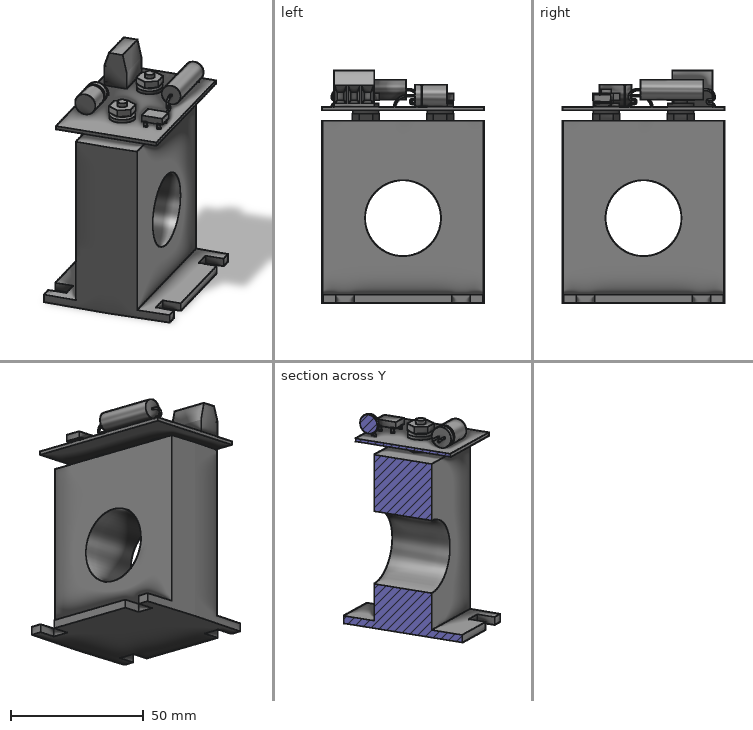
import cadquery as cq
import math

HOUSING_LENGTH = 61.09
HOUSING_WIDTH = 24.77
HOUSING_HEIGHT = 68.58
DRAFT_ANGLE = 1.4
BORE_DIAMETER = 28.45
BORE_HEIGHT = 31.9

FLANGE_WIDTH = 50.8
FLANGE_THICKNESS = 3.175
NOTCH_DEPTH = 7.3
NOTCH_INNER_Y = 18.4
NOTCH_OUTER_Y = 25.35

HEX_CORNER_DIAMETER = 10.16
SPACER_HEIGHT = 2.54
WASHER_DIAMETER = 9.91
WASHER_THICKNESS = 1.27
COLLAR_DIAMETER = 5.08
COLLAR_HEIGHT = 1.14
NUT_HEIGHT = 2.6
STUD_DIAMETER = 3.68
STUD_PROJECTION = 1.6
STUD_POSITIONS_Y = (14.0, -14.0)

BOARD_WIDTH = 40.64
BOARD_LENGTH = 60.93
BOARD_THICKNESS = 1.397
BOARD_BOTTOM = HOUSING_HEIGHT + SPACER_HEIGHT + WASHER_THICKNESS
BOARD_TOP = BOARD_BOTTOM + BOARD_THICKNESS

WIRE_DIAMETER = 0.762
WIRE_EMBED = 0.5

TERMINAL_TOP = 87.5
TERMINAL_CENTER_Y = 18.4
TERMINAL_PITCH = 5.08
TERMINAL_WAYS = 3
TERMINAL_LENGTH = TERMINAL_PITCH * TERMINAL_WAYS
TERMINAL_FRONT_X = -17.15
TERMINAL_BACK_X = -8.05
TERMINAL_CREST_FRONT_X = -15.2
TERMINAL_CREST_BACK_X = -9.65
TERMINAL_FRONT_SHOULDER = 8.0
TERMINAL_BACK_SHOULDER = 6.7
POCKET_DEPTH = 5.5
POCKET_FLOOR = 1.27
POCKET_MOUTH_WIDTH = 4.45
POCKET_END_WIDTH = 2.56
POCKET_END_FLOOR = 2.38
POCKET_END_CEILING = 5.42

CAPACITOR_DIAMETER = 8.26
CAPACITOR_X = -13.97
CAPACITOR_START_Y = -4.5
CAPACITOR_LENGTH = 12.1
CAPACITOR_CLEARANCE = 0.02
GROOVE_OFFSET = 2.3
GROOVE_WIDTH = 0.45
GROOVE_DEPTH = 0.35
CAPACITOR_LEAD_PITCH = 2.54
CAPACITOR_LEAD_BEND = 4.9
CAPACITOR_LEAD_REACH_Y = 3.25

AXIAL_DIAMETER = 7.62
AXIAL_X = 14.7
AXIAL_CENTER_Y = 10.6
AXIAL_LENGTH = 23.6
AXIAL_HEIGHT = 6.35
AXIAL_LEAD_REACH = 4.15
AXIAL_UPPER_BEND = 2.8
AXIAL_MIDDLE_BEND = 0.9
AXIAL_LOOP_BEND = 0.72
AXIAL_LOOP_REACH = 2.35

RECTIFIER_X = 13.9
RECTIFIER_CENTER_Y = -15.55
RECTIFIER_WIDTH = 8.38
RECTIFIER_LENGTH = 6.35
RECTIFIER_HEIGHT = 2.54
RECTIFIER_STANDOFF = 1.93
LEG_PITCH = 5.4
LEG_WIDTH = 1.3
LEG_THICKNESS = 0.32
LEG_OVERHANG = 0.2
LEG_FOOT_LENGTH = 0.9
LEG_ROOT_HEIGHT = 0.3


def box_between(x_range, y_range, z_range):
    size = [high - low for low, high in (x_range, y_range, z_range)]
    corner = (x_range[0], y_range[0], z_range[0])
    return cq.Workplane("XY").box(*size, centered=False).translate(corner)


def disc(diameter, y, z_bottom, height):
    return cq.Workplane("XY", origin=(0, y, z_bottom)).circle(diameter / 2).extrude(height)


def hexagon(y, z_bottom, height):
    """Hexagonal prism with two corners pointing along Y."""
    profile = cq.Workplane("XY", origin=(0, y, z_bottom)).transformed(rotate=(0, 0, 90))
    return profile.polygon(6, HEX_CORNER_DIAMETER).extrude(height)


def cylinder_along_y(diameter, x, z, y_low, y_high):
    plane = cq.Workplane("XZ", origin=(x, y_high, z))
    return plane.circle(diameter / 2).extrude(y_high - y_low)


def drafted_plate(width, height):
    """Block whose Y ends slope away from the parting plane at the draft angle."""
    half_width = width / 2
    middle_y = HOUSING_LENGTH / 2
    outer_y = middle_y - half_width * math.tan(math.radians(DRAFT_ANGLE))
    outline = [
        (-half_width, -outer_y),
        (0, -middle_y),
        (half_width, -outer_y),
        (half_width, outer_y),
        (0, middle_y),
        (-half_width, outer_y),
    ]
    return cq.Workplane("XY").polyline(outline).close().extrude(height)


def make_housing():
    housing = drafted_plate(HOUSING_WIDTH, HOUSING_HEIGHT)
    flange = drafted_plate(FLANGE_WIDTH, FLANGE_THICKNESS)
    notch_width = NOTCH_OUTER_Y - NOTCH_INNER_Y
    notch_x = FLANGE_WIDTH / 2 - NOTCH_DEPTH / 2
    notch_y = (NOTCH_OUTER_Y + NOTCH_INNER_Y) / 2
    notches = (
        cq.Workplane("XY")
        .rect(2 * notch_x, 2 * notch_y, forConstruction=True)
        .vertices()
        .rect(NOTCH_DEPTH, notch_width)
        .extrude(FLANGE_THICKNESS)
    )
    bore = (
        cq.Workplane("YZ", origin=(-HOUSING_WIDTH / 2, 0, BORE_HEIGHT))
        .circle(BORE_DIAMETER / 2)
        .extrude(HOUSING_WIDTH)
    )
    return housing.union(flange.cut(notches)).cut(bore)


def make_board():
    board = cq.Workplane("XY").box(
        BOARD_WIDTH, BOARD_LENGTH, BOARD_THICKNESS, centered=(True, True, False)
    )
    return board.translate((0, 0, BOARD_BOTTOM))


def make_stud(y):
    """Spacer, two washers, collar, nut and threaded stud, stacked upward."""
    lower_washer_z = HOUSING_HEIGHT + SPACER_HEIGHT
    collar_z = BOARD_TOP + WASHER_THICKNESS
    nut_z = collar_z + COLLAR_HEIGHT
    stud_top = nut_z + NUT_HEIGHT + STUD_PROJECTION
    stack = hexagon(y, HOUSING_HEIGHT, SPACER_HEIGHT)
    stack = stack.union(disc(WASHER_DIAMETER, y, lower_washer_z, WASHER_THICKNESS))
    stack = stack.union(disc(WASHER_DIAMETER, y, BOARD_TOP, WASHER_THICKNESS))
    stack = stack.union(disc(COLLAR_DIAMETER, y, collar_z, COLLAR_HEIGHT))
    stack = stack.union(hexagon(y, nut_z, NUT_HEIGHT))
    return stack.union(disc(STUD_DIAMETER, y, HOUSING_HEIGHT, stud_top - HOUSING_HEIGHT))


def make_terminal_pocket(y):
    """Wire entry that tapers from its mouth to a smaller end wall."""
    mouth_height = TERMINAL_FRONT_SHOULDER - POCKET_FLOOR
    mouth_center = (TERMINAL_FRONT_SHOULDER + POCKET_FLOOR) / 2
    end_height = POCKET_END_CEILING - POCKET_END_FLOOR
    end_center = (POCKET_END_CEILING + POCKET_END_FLOOR) / 2
    return (
        cq.Workplane("YZ", origin=(TERMINAL_FRONT_X, y, BOARD_TOP + mouth_center))
        .rect(POCKET_MOUTH_WIDTH, mouth_height)
        .workplane(offset=POCKET_DEPTH)
        .center(0, end_center - mouth_center)
        .rect(POCKET_END_WIDTH, end_height)
        .loft(ruled=True)
    )


def make_terminal():
    profile = [
        (TERMINAL_FRONT_X, BOARD_TOP),
        (TERMINAL_FRONT_X, BOARD_TOP + TERMINAL_FRONT_SHOULDER),
        (TERMINAL_CREST_FRONT_X, TERMINAL_TOP),
        (TERMINAL_CREST_BACK_X, TERMINAL_TOP),
        (TERMINAL_BACK_X, BOARD_TOP + TERMINAL_BACK_SHOULDER),
        (TERMINAL_BACK_X, BOARD_TOP),
    ]
    start_y = TERMINAL_CENTER_Y + TERMINAL_LENGTH / 2
    terminal = (
        cq.Workplane("XZ", origin=(0, start_y, 0)).polyline(profile).close().extrude(TERMINAL_LENGTH)
    )
    for way in range(TERMINAL_WAYS):
        pocket_y = start_y - (way + 0.5) * TERMINAL_PITCH
        terminal = terminal.cut(make_terminal_pocket(pocket_y))
    return terminal


def sweep_wire(path, x, y, z):
    """Round wire along a path that leaves (x, y, z) in the Y direction."""
    return cq.Workplane("XZ", origin=(x, y, z)).circle(WIRE_DIAMETER / 2).sweep(path)


def make_capacitor():
    radius = CAPACITOR_DIAMETER / 2
    axis_z = BOARD_TOP + radius + CAPACITOR_CLEARANCE
    end_y = CAPACITOR_START_Y - CAPACITOR_LENGTH
    groove_y = CAPACITOR_START_Y - GROOVE_OFFSET
    groove_end_y = groove_y - GROOVE_WIDTH
    core_diameter = CAPACITOR_DIAMETER - 2 * GROOVE_DEPTH

    capacitor = cylinder_along_y(CAPACITOR_DIAMETER, CAPACITOR_X, axis_z, groove_y, CAPACITOR_START_Y)
    capacitor = capacitor.union(
        cylinder_along_y(core_diameter, CAPACITOR_X, axis_z, groove_end_y, groove_y)
    )
    capacitor = capacitor.union(
        cylinder_along_y(CAPACITOR_DIAMETER, CAPACITOR_X, axis_z, end_y, groove_end_y)
    )

    bend_start_y = CAPACITOR_LEAD_REACH_Y - CAPACITOR_LEAD_BEND
    bend_end_z = axis_z - CAPACITOR_LEAD_BEND
    wire_start_y = CAPACITOR_START_Y - WIRE_EMBED
    for side in (-1, 1):
        lead_x = CAPACITOR_X + side * CAPACITOR_LEAD_PITCH / 2
        path = (
            cq.Workplane("YZ", origin=(lead_x, 0, 0))
            .moveTo(wire_start_y, axis_z)
            .lineTo(bend_start_y, axis_z)
            .tangentArcPoint((CAPACITOR_LEAD_REACH_Y, bend_end_z), relative=False)
        )
        capacitor = capacitor.union(sweep_wire(path, lead_x, wire_start_y, axis_z))
    return capacitor


def make_axial_lead(end_y, direction):
    """Lead that drops from the axis, loops back under the body and enters the board."""
    axis_z = BOARD_TOP + AXIAL_HEIGHT
    outer = AXIAL_LEAD_REACH
    upper_z = axis_z - AXIAL_UPPER_BEND
    loop_top_z = upper_z - AXIAL_MIDDLE_BEND
    loop_bottom_z = loop_top_z - 2 * AXIAL_LOOP_BEND
    last_bend = loop_bottom_z - BOARD_TOP

    def y_at(reach):
        return end_y + direction * reach

    start_y = y_at(-WIRE_EMBED)
    path = (
        cq.Workplane("YZ", origin=(AXIAL_X, 0, 0))
        .moveTo(start_y, axis_z)
        .lineTo(y_at(outer - AXIAL_UPPER_BEND), axis_z)
        .tangentArcPoint((y_at(outer), upper_z), relative=False)
        .tangentArcPoint((y_at(outer - AXIAL_MIDDLE_BEND), loop_top_z), relative=False)
        .lineTo(y_at(AXIAL_LOOP_REACH), loop_top_z)
        .tangentArcPoint((y_at(AXIAL_LOOP_REACH), loop_bottom_z), relative=False)
        .lineTo(y_at(outer - last_bend), loop_bottom_z)
        .tangentArcPoint((y_at(outer), BOARD_TOP), relative=False)
        .lineTo(y_at(outer), BOARD_TOP - WIRE_EMBED)
    )
    return sweep_wire(path, AXIAL_X, start_y, axis_z)


def make_axial_component():
    low_y = AXIAL_CENTER_Y - AXIAL_LENGTH / 2
    high_y = AXIAL_CENTER_Y + AXIAL_LENGTH / 2
    body = cylinder_along_y(AXIAL_DIAMETER, AXIAL_X, BOARD_TOP + AXIAL_HEIGHT, low_y, high_y)
    return body.union(make_axial_lead(low_y, -1)).union(make_axial_lead(high_y, 1))


def make_rectifier_leg(x, face_y, direction):
    """C-shaped leg on one end face: tab under the block, upright, foot on the board."""
    bottom_z = BOARD_TOP + RECTIFIER_STANDOFF
    outer_y = face_y + direction * LEG_OVERHANG
    upright_y = outer_y - direction * LEG_THICKNESS
    inner_y = outer_y - direction * LEG_FOOT_LENGTH
    x_range = (x - LEG_WIDTH / 2, x + LEG_WIDTH / 2)
    upright = box_between(x_range, sorted((outer_y, upright_y)), (BOARD_TOP, bottom_z + LEG_ROOT_HEIGHT))
    foot_y_range = sorted((outer_y, inner_y))
    tab = box_between(x_range, foot_y_range, (bottom_z - LEG_THICKNESS, bottom_z))
    foot = box_between(x_range, foot_y_range, (BOARD_TOP, BOARD_TOP + LEG_THICKNESS))
    return upright.union(tab).union(foot)


def make_rectifier():
    low_y = RECTIFIER_CENTER_Y - RECTIFIER_LENGTH / 2
    high_y = RECTIFIER_CENTER_Y + RECTIFIER_LENGTH / 2
    bottom_z = BOARD_TOP + RECTIFIER_STANDOFF
    half_width = RECTIFIER_WIDTH / 2
    rectifier = box_between(
        (RECTIFIER_X - half_width, RECTIFIER_X + half_width),
        (low_y, high_y),
        (bottom_z, bottom_z + RECTIFIER_HEIGHT),
    )
    for side in (-1, 1):
        leg_x = RECTIFIER_X + side * LEG_PITCH / 2
        rectifier = rectifier.union(make_rectifier_leg(leg_x, low_y, -1))
        rectifier = rectifier.union(make_rectifier_leg(leg_x, high_y, 1))
    return rectifier


assembly = make_housing().union(make_board())
for stud_y in STUD_POSITIONS_Y:
    assembly = assembly.union(make_stud(stud_y))
assembly = assembly.union(make_terminal())
assembly = assembly.union(make_capacitor())
assembly = assembly.union(make_axial_component())
assembly = assembly.union(make_rectifier())

result = assembly